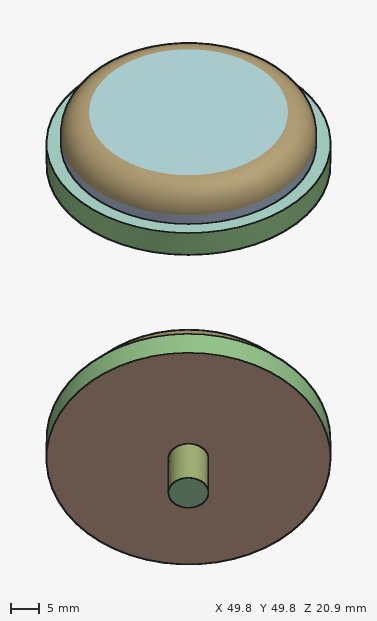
import cadquery as cq

flange_diameter = 49.8
flange_thickness = 5
cap_diameter = 44.8
cap_height = 6.95
cap_edge_radius = 5
stud_diameter = 7.0
stud_length = 8.95

flange = cq.Workplane("XY").circle(flange_diameter / 2).extrude(flange_thickness)

cap = (
    cq.Workplane("XY")
    .workplane(offset=flange_thickness)
    .circle(cap_diameter / 2)
    .extrude(cap_height)
    .faces(">Z")
    .edges()
    .fillet(cap_edge_radius)
)

stud = cq.Workplane("XY").circle(stud_diameter / 2).extrude(-stud_length)

result = flange.union(cap).union(stud)